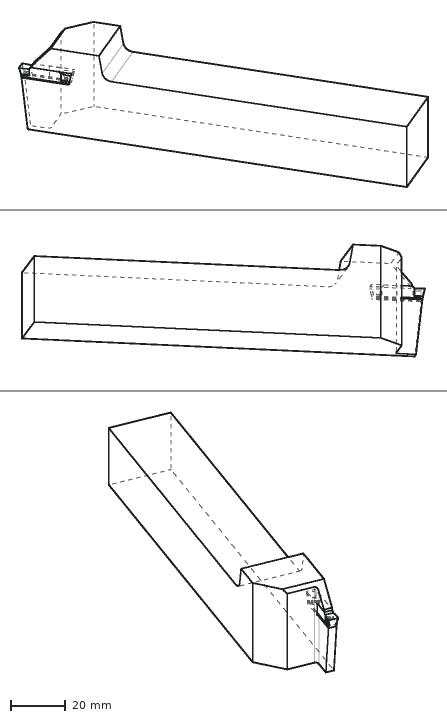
import cadquery as cq
import math

LENGTH = 150.0
SHANK_WIDTH = 25.0
SHANK_HEIGHT = 25.0
HEAD_HEIGHT = 35.0

BLADE_WIDTH = 3.3
BLADE_TOE_X = 3.3
BLOCK_FRONT_X = 11.0
BLOCK_CHAMFER_Y = 15.5
BLOCK_FILLET = 1.2

NOSE_BASE_X = 4.6
NOSE_X = 5.0
NOSE_Z = 26.7
HEAD_TOP_START_X = 12.3
HEAD_TOP_END_X = 30.9
HEAD_BACK_ANGLE = 10.0
HEAD_BACK_FILLET = 3.6

INSERT_LENGTH = 20.1
INSERT_BOTTOM_Z = 21.0
INSERT_CREST_Z = 25.8
INSERT_END_SLOPE = 0.9
INSERT_BOTTOM_CHAMFER = 0.5
SIDE_OVERHANG = 0.3
EDGE_LENGTH = 1.6
TIP_LENGTH = 3.9
TIP_DEPTH = 2.8
CREST_RAMP = 0.8
CUTTING_EDGE_Z = SHANK_HEIGHT
TIP_RELIEF_ANGLE = math.degrees(math.atan(INSERT_END_SLOPE / (CUTTING_EDGE_Z - INSERT_BOTTOM_Z)))
INSERT_FAR_X = INSERT_LENGTH - INSERT_END_SLOPE
POCKET_DEPTH = BLADE_WIDTH + SIDE_OVERHANG


def extrude_along_y(outline, y_start, y_end):
    """Extrude an XZ outline, a list of points, between two Y positions."""
    wire = cq.Workplane("XZ", origin=(0, y_start, 0)).polyline(outline).close()
    return wire.extrude(y_start - y_end)


def make_side_profile():
    """Shank, raised head and sloped toe as seen from the side."""
    back_run = (HEAD_HEIGHT - SHANK_HEIGHT) * math.tan(math.radians(HEAD_BACK_ANGLE))
    back_corner_x = HEAD_TOP_END_X + back_run
    outline = [
        (BLADE_TOE_X, 0),
        (INSERT_END_SLOPE, INSERT_BOTTOM_Z),
        (NOSE_BASE_X, INSERT_CREST_Z),
        (NOSE_X, NOSE_Z),
        (HEAD_TOP_START_X, HEAD_HEIGHT),
        (HEAD_TOP_END_X, HEAD_HEIGHT),
        (back_corner_x, SHANK_HEIGHT),
        (LENGTH, SHANK_HEIGHT),
        (LENGTH, 0),
    ]
    profile = extrude_along_y(outline, 0, SHANK_WIDTH)
    back_corner = cq.selectors.NearestToPointSelector((back_corner_x, SHANK_WIDTH / 2, SHANK_HEIGHT))
    return profile.edges(back_corner).fillet(HEAD_BACK_FILLET)


def make_plan():
    """Thin blade widening through a fillet into the chamfered block, seen from above."""
    chamfer = SHANK_WIDTH - BLOCK_CHAMFER_Y
    return (
        cq.Workplane("XY")
        .lineTo(LENGTH, 0)
        .lineTo(LENGTH, SHANK_WIDTH)
        .lineTo(BLOCK_FRONT_X + chamfer, SHANK_WIDTH)
        .lineTo(BLOCK_FRONT_X, BLOCK_CHAMFER_Y)
        .lineTo(BLOCK_FRONT_X, BLADE_WIDTH + BLOCK_FILLET)
        .radiusArc((BLOCK_FRONT_X - BLOCK_FILLET, BLADE_WIDTH), BLOCK_FILLET)
        .lineTo(0, BLADE_WIDTH)
        .close()
        .extrude(HEAD_HEIGHT)
    )


def make_pocket():
    """Insert pocket, open at the front end and on the near side."""
    outline = [
        (0, INSERT_BOTTOM_Z),
        (INSERT_FAR_X, INSERT_BOTTOM_Z),
        (INSERT_LENGTH, CUTTING_EDGE_Z),
        (INSERT_LENGTH, INSERT_CREST_Z),
        (0, INSERT_CREST_Z),
    ]
    return extrude_along_y(outline, 0, POCKET_DEPTH)


def make_holder():
    return make_side_profile().intersect(make_plan()).cut(make_pocket())


def make_insert_core():
    """Plate with sloped ends, a raised crest and chamfered bottom edges."""
    outline = [
        (INSERT_END_SLOPE, INSERT_BOTTOM_Z),
        (INSERT_FAR_X, INSERT_BOTTOM_Z),
        (INSERT_LENGTH, CUTTING_EDGE_Z),
        (INSERT_LENGTH - TIP_LENGTH, CUTTING_EDGE_Z),
        (INSERT_LENGTH - TIP_LENGTH - CREST_RAMP, INSERT_CREST_Z),
        (TIP_LENGTH + CREST_RAMP, INSERT_CREST_Z),
        (TIP_LENGTH, CUTTING_EDGE_Z),
        (0, CUTTING_EDGE_Z),
    ]
    core = extrude_along_y(outline, 0, BLADE_WIDTH)
    return core.faces("<Z").edges("|X").chamfer(INSERT_BOTTOM_CHAMFER)


def make_tip_window():
    """Space at the front end of the plate that the cutting tip replaces."""
    return cq.Workplane("XY", origin=(0, 0, CUTTING_EDGE_Z - TIP_DEPTH)).box(
        TIP_LENGTH, BLADE_WIDTH, TIP_DEPTH, centered=False
    )


def make_tip():
    """Cutting tip, widest at its top front edge and relieved downward on all sides."""
    outline = [
        (0, -SIDE_OVERHANG),
        (EDGE_LENGTH, -SIDE_OVERHANG),
        (TIP_LENGTH, 0),
        (TIP_LENGTH + CREST_RAMP, 0),
        (TIP_LENGTH + CREST_RAMP, BLADE_WIDTH),
        (TIP_LENGTH, BLADE_WIDTH),
        (EDGE_LENGTH, BLADE_WIDTH + SIDE_OVERHANG),
        (0, BLADE_WIDTH + SIDE_OVERHANG),
    ]
    top = cq.Workplane("XY", origin=(0, 0, CUTTING_EDGE_Z)).polyline(outline).close()
    return top.extrude(-TIP_DEPTH, taper=TIP_RELIEF_ANGLE)


def make_insert():
    """Two identical cutting tips facing opposite ways on one plate."""
    middle = (INSERT_LENGTH / 2, BLADE_WIDTH / 2, 0)
    middle_above = (INSERT_LENGTH / 2, BLADE_WIDTH / 2, 1)
    insert = make_insert_core()
    for turn in (0, 180):
        window = make_tip_window().rotate(middle, middle_above, turn)
        tip = make_tip().rotate(middle, middle_above, turn)
        insert = insert.cut(window).union(tip)
    return insert


holder = make_holder()
insert = make_insert()

result = cq.Compound.makeCompound([holder.solids().val(), insert.solids().val()])